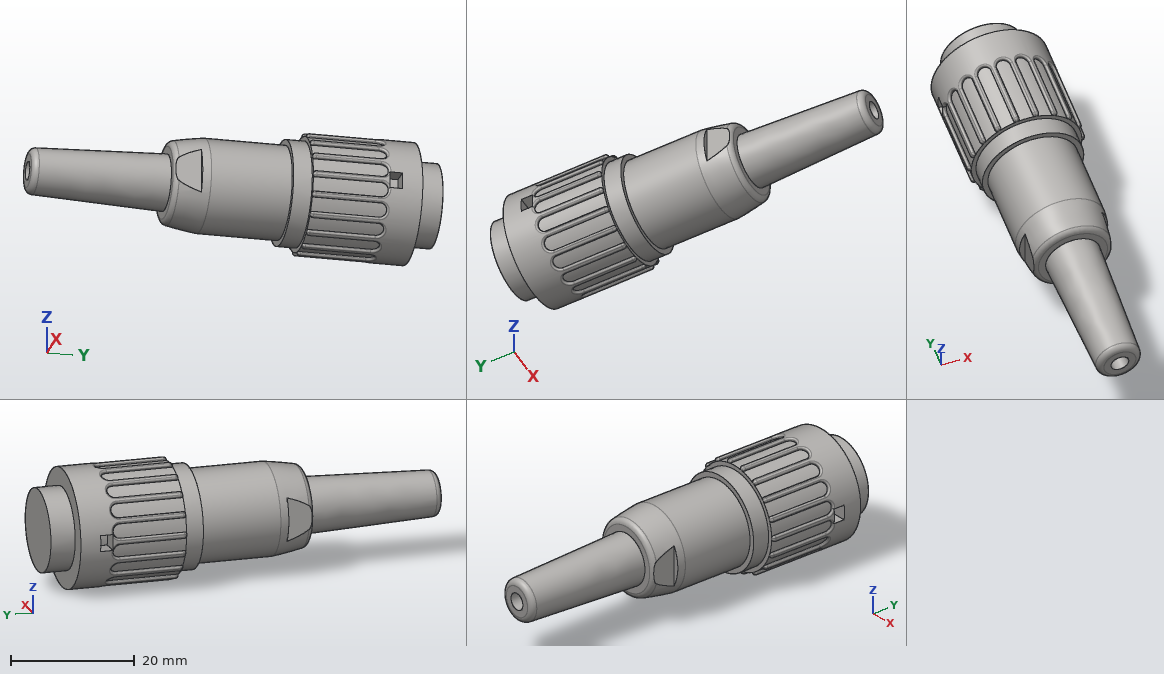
import cadquery as cq

LENGTH = 67.4

TAIL_ROOT_DIAMETER = 9.4
TAIL_TIP_DIAMETER = 7.55
TIP_ROUND = 1.1
CABLE_HOLE_DIAMETER = 3.0
CABLE_HOLE_DEPTH = 6.75

NUT_START = 22.8
NUT_END = 28.7
NUT_FRONT_DIAMETER = 13.5
NUT_FRONT_ROUND = 1.0
NUT_BULGE = 0.1
FLATS_DISTANCE = 13.2
FLATS_END = 27.3

BODY_DIAMETER = 15.5
COLLAR_START = 42.1
COLLAR_DIAMETER = 17.4
PLUG_DIAMETER = 13.9

SLEEVE_START = 45.2
SLEEVE_END = 63.3
SLEEVE_DIAMETER = 20.0
GROOVE_COUNT = 18
GROOVE_WIDTH = 2.35
GROOVE_DEPTH = 0.55
GROOVE_END = 57.7
GROOVE_EDGE_ROUND = 0.3
SLEEVE_FRONT_ROUND = 0.5
WINDOW_START = 57.8
WINDOW_LENGTH = 2.1
WINDOW_HEIGHT = 2.7

MIN_EDGE_RUN = 0.1


def rod(diameter, start, end):
    """Cylinder on the Y axis from start to end."""
    return cq.Workplane("XZ", origin=(0, start, 0)).circle(diameter / 2).extrude(start - end)


def make_tail():
    root_radius = TAIL_ROOT_DIAMETER / 2
    tip_radius = TAIL_TIP_DIAMETER / 2
    tail = (
        cq.Workplane("XY")
        .polyline([(0, 0), (tip_radius, 0), (root_radius, NUT_START), (0, NUT_START)])
        .close()
        .revolve(360, (0, 0, 0), (0, 1, 0))
        .faces("<Y")
        .edges()
        .fillet(TIP_ROUND)
    )
    return tail.cut(rod(CABLE_HOLE_DIAMETER, 0, CABLE_HOLE_DEPTH))


def make_nut():
    front_radius = NUT_FRONT_DIAMETER / 2
    back_radius = BODY_DIAMETER / 2
    bulge_point = ((front_radius + back_radius) / 2 + NUT_BULGE, (NUT_START + NUT_END) / 2)
    nut = (
        cq.Workplane("XY")
        .moveTo(0, NUT_START)
        .lineTo(front_radius, NUT_START)
        .threePointArc(bulge_point, (back_radius, NUT_END))
        .lineTo(0, NUT_END)
        .close()
        .revolve(360, (0, 0, 0), (0, 1, 0))
        .faces("<Y")
        .edges()
        .fillet(NUT_FRONT_ROUND)
    )
    flats_length = FLATS_END - NUT_START
    flats_middle = (NUT_START + FLATS_END) / 2
    stock = cq.Workplane("XY").box(2 * BODY_DIAMETER, flats_length, 2 * BODY_DIAMETER)
    between_flats = cq.Workplane("XY").box(FLATS_DISTANCE, flats_length, 2 * BODY_DIAMETER)
    beyond_flats = stock.cut(between_flats).translate((0, flats_middle, 0))
    return nut.cut(beyond_flats)


def make_grooves():
    """Round-ended slots around the sleeve, open at its front, with floors that follow its curve."""
    floor_radius = SLEEVE_DIAMETER / 2 - GROOVE_DEPTH
    round_centre = GROOVE_END - GROOVE_WIDTH / 2
    half_width = GROOVE_WIDTH / 2
    slot = (
        cq.Workplane("XY")
        .moveTo(-half_width, SLEEVE_START)
        .lineTo(half_width, SLEEVE_START)
        .lineTo(half_width, round_centre)
        .threePointArc((0, GROOVE_END), (-half_width, round_centre))
        .close()
        .extrude(SLEEVE_DIAMETER)
        .cut(rod(2 * floor_radius, SLEEVE_START, SLEEVE_END))
    )
    return [
        slot.rotate((0, 0, 0), (0, 1, 0), index * 360 / GROOVE_COUNT)
        for index in range(GROOVE_COUNT)
    ]


def is_groove_edge(edge):
    """True for edges that run along Y without reaching the back rim of the sleeve."""
    box = edge.BoundingBox()
    return box.ylen > MIN_EDGE_RUN and box.ymax < WINDOW_START + WINDOW_LENGTH


def make_sleeve():
    sleeve = rod(SLEEVE_DIAMETER, SLEEVE_START, SLEEVE_END)
    sleeve = sleeve.faces("<Y").edges().fillet(SLEEVE_FRONT_ROUND)
    for groove in make_grooves():
        sleeve = sleeve.cut(groove)
    outer_face = max(sleeve.faces("%CYLINDER").vals(), key=lambda face: face.Area())
    groove_edges = [edge for edge in outer_face.Edges() if is_groove_edge(edge)]
    return sleeve.newObject(groove_edges).fillet(GROOVE_EDGE_ROUND)


def make_windows():
    """Openings on both X sides of the sleeve that reach down to the plug."""
    middle = WINDOW_START + WINDOW_LENGTH / 2
    window = cq.Workplane("XY").box(SLEEVE_DIAMETER, WINDOW_LENGTH, WINDOW_HEIGHT)
    return window.translate((0, middle, 0)).cut(rod(PLUG_DIAMETER, SLEEVE_START, LENGTH))


result = (
    make_tail()
    .union(make_nut())
    .union(rod(BODY_DIAMETER, NUT_END, COLLAR_START))
    .union(rod(COLLAR_DIAMETER, COLLAR_START, SLEEVE_START))
    .union(make_sleeve().cut(make_windows()))
    .union(rod(PLUG_DIAMETER, SLEEVE_END, LENGTH))
)